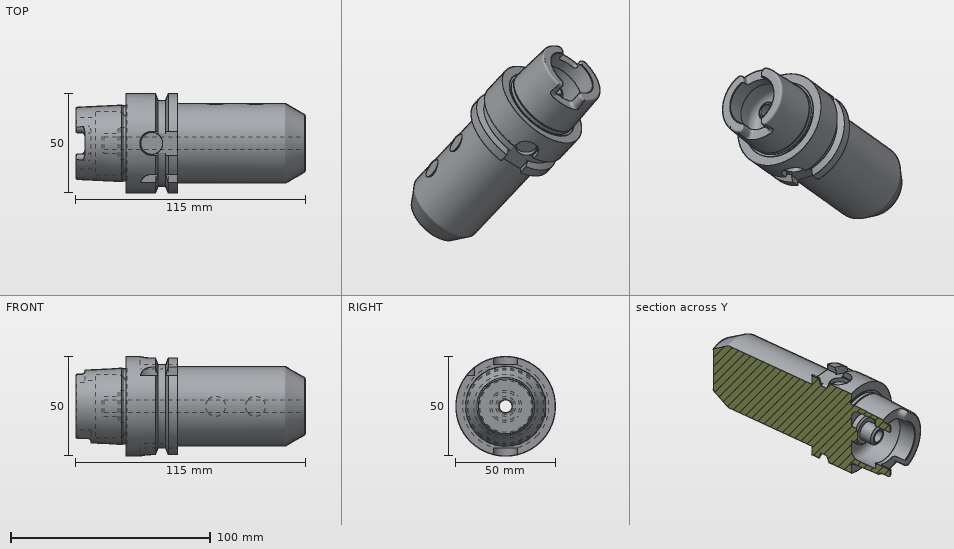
import cadquery as cq
import math


SHANK_LENGTH = 25.0
SHANK_LARGE_D = 38.4
SHANK_SMALL_D = 36.2
SHANK_END_ROUND = 1.0
NECK_D = 37.9
NECK_LENGTH = 2.1
NECK_RAMP = 0.7
FACE_RECESS_D = 40.4
FACE_RECESS_DEPTH = 0.5

FLANGE_D = 50.0
FLANGE_LENGTH = 26.0
GROOVE_D = 43.2
GROOVE_CENTRE_X = 18.05
GROOVE_FLOOR_WIDTH = 3.7
GROOVE_FLANK_RUN = 1.4

BODY_D = 40.0
BODY_END_X = 90.0
NOSE_CONE_LENGTH = 10.0
NOSE_CONE_ANGLE = 30.0
NOSE_EDGE_CHAMFER = 0.5
NOSE_CONE_ROUND = 1.0

BORE_D = 26.0
BORE_MOUTH_D = 26.6
LIP_LENGTH = 9.7
RELIEF_D = 32.0
BORE_DEPTH = 25.0
BORE_FLOOR_ROUND = 4.4
GLAND_D = 16.0
GLAND_HEIGHT = 4.0
GLAND_CHAMFER = 1.0
TUBE_D = 10.0
TUBE_HEIGHT = 12.0
TUBE_CHAMFER = 1.0
COOLANT_HOLE_D = 6.4

DRIVE_SLOT_WIDTH = 10.54
DRIVE_SLOT_DEPTHS = {1: 4.4, -1: 7.5}
DRIVE_SLOT_FLOOR_ROUND = 1.5
DRIVE_SLOT_FLARE_R = 2.5
DRIVE_SLOT_FLARE_Z = 13.7
DRIVE_SLOT_MOUTH_ROUND = 1.0

KEYWAY_WIDTH = 12.0
KEYWAY_FLOOR_Z = 21.0
KEYWAY_END_X = 13.0
KEYWAY_POCKET_D = 11.0
KEYWAY_POCKET_DEPTH = 2.4
CORNER_NOTCH_OFFSET = 15.5

SCREW_D = 10.0
SCREW_LENGTH = 10.0
SCREW_XS = (45.0, 65.0)

CLEARANCE = 5.0
PICK_MARGIN = 0.5


def turned_body():
    """Outer turned shape with every diameter from shank to nose."""
    cone_drop = NOSE_CONE_LENGTH * math.tan(math.radians(NOSE_CONE_ANGLE))
    nose_end_r = BODY_D / 2 - cone_drop
    groove_half = GROOVE_FLOOR_WIDTH / 2
    profile = (
        cq.Workplane("XY")
        .moveTo(-SHANK_LENGTH, 0)
        .lineTo(-SHANK_LENGTH, SHANK_SMALL_D / 2)
        .lineTo(-NECK_LENGTH, SHANK_LARGE_D / 2)
        .lineTo(-NECK_LENGTH + NECK_RAMP, NECK_D / 2)
        .lineTo(FACE_RECESS_DEPTH, NECK_D / 2)
        .lineTo(FACE_RECESS_DEPTH, FACE_RECESS_D / 2)
        .lineTo(0, FACE_RECESS_D / 2)
        .lineTo(0, FLANGE_D / 2)
        .lineTo(GROOVE_CENTRE_X - groove_half - GROOVE_FLANK_RUN, FLANGE_D / 2)
        .lineTo(GROOVE_CENTRE_X - groove_half, GROOVE_D / 2)
        .lineTo(GROOVE_CENTRE_X + groove_half, GROOVE_D / 2)
        .lineTo(GROOVE_CENTRE_X + groove_half + GROOVE_FLANK_RUN, FLANGE_D / 2)
        .lineTo(FLANGE_LENGTH, FLANGE_D / 2)
        .lineTo(FLANGE_LENGTH, BODY_D / 2)
        .lineTo(BODY_END_X - NOSE_CONE_LENGTH, BODY_D / 2)
        .lineTo(BODY_END_X, nose_end_r)
        .lineTo(BODY_END_X, 0)
        .close()
    )
    body = profile.revolve(360, (0, 0, 0), (1, 0, 0))
    body = body.faces("<X").edges().fillet(SHANK_END_ROUND)
    body = body.faces(">X").edges().chamfer(NOSE_EDGE_CHAMFER)
    cone_edge_x = BODY_END_X - NOSE_CONE_LENGTH
    cone_edge = cq.selectors.BoxSelector(
        (cone_edge_x - PICK_MARGIN, -BODY_D, -BODY_D), (cone_edge_x + PICK_MARGIN, BODY_D, BODY_D)
    )
    return body.edges(cone_edge).fillet(NOSE_CONE_ROUND)


def shank_cavity():
    """Turned hollow of the shank, leaving the gland and coolant tube standing."""
    mouth_chamfer = (BORE_MOUTH_D - BORE_D) / 2
    floor_x = -SHANK_LENGTH + BORE_DEPTH
    bore = cq.Workplane("YZ", origin=(-SHANK_LENGTH, 0, 0)).circle(BORE_D / 2).extrude(LIP_LENGTH)
    relief = (
        cq.Workplane("YZ", origin=(-SHANK_LENGTH + LIP_LENGTH, 0, 0))
        .circle(RELIEF_D / 2)
        .extrude(BORE_DEPTH - LIP_LENGTH)
    )
    relief = relief.faces(">X").edges().fillet(BORE_FLOOR_ROUND)
    mouth = (
        cq.Workplane("XY")
        .moveTo(-SHANK_LENGTH, 0)
        .lineTo(-SHANK_LENGTH, BORE_MOUTH_D / 2)
        .lineTo(-SHANK_LENGTH + mouth_chamfer, BORE_D / 2)
        .lineTo(-SHANK_LENGTH + mouth_chamfer, 0)
        .close()
        .revolve(360, (0, 0, 0), (1, 0, 0))
    )
    cavity = bore.union(relief).union(mouth)
    for diameter, height, chamfer in (
        (GLAND_D, GLAND_HEIGHT, GLAND_CHAMFER),
        (TUBE_D, TUBE_HEIGHT, TUBE_CHAMFER),
    ):
        boss = cq.Workplane("YZ", origin=(floor_x, 0, 0)).circle(diameter / 2).extrude(-height)
        cavity = cavity.cut(boss.faces("<X").edges().chamfer(chamfer))
    return cavity


def coolant_hole():
    """Straight hole along the whole turning axis."""
    length = SHANK_LENGTH + BODY_END_X
    return cq.Workplane("YZ", origin=(-SHANK_LENGTH, 0, 0)).circle(COOLANT_HOLE_D / 2).extrude(length)


def with_round_mouth(cutter):
    """Widens a drive slot cutter at the open end so that the walls it leaves are rounded there."""
    width = BORE_D - 2 * PICK_MARGIN
    height = SHANK_LARGE_D
    blank = cq.Workplane("XY", origin=(-SHANK_LENGTH, 0, 0)).box(
        SHANK_LENGTH, width, height, centered=(False, True, False)
    )
    walls = blank.cut(cutter)
    inner_y = width / 2 - PICK_MARGIN
    mouth = cq.selectors.BoxSelector(
        (-SHANK_LENGTH - PICK_MARGIN, -inner_y, PICK_MARGIN),
        (-SHANK_LENGTH + PICK_MARGIN, inner_y, height),
    )
    walls = walls.faces("<X").edges(mouth).fillet(DRIVE_SLOT_MOUTH_ROUND)
    return blank.cut(walls)


def drive_slot(side):
    """Slot in the shank end with rounded floor edges, flared walls and a rounded mouth."""
    half = DRIVE_SLOT_WIDTH / 2
    flare = DRIVE_SLOT_FLARE_R
    bend = flare * math.sin(math.radians(45))
    flare_top = DRIVE_SLOT_FLARE_Z + flare
    outer_y = BORE_D / 2
    outer_z = SHANK_LARGE_D / 2 + CLEARANCE
    mid_y = half + flare - bend
    mid_z = DRIVE_SLOT_FLARE_Z + bend

    outline = (
        cq.Workplane("YZ", origin=(-SHANK_LENGTH, 0, 0))
        .moveTo(-half, 0)
        .lineTo(half, 0)
        .lineTo(half, DRIVE_SLOT_FLARE_Z)
        .threePointArc((mid_y, mid_z), (half + flare, flare_top))
        .lineTo(outer_y, flare_top)
        .lineTo(outer_y, outer_z)
        .lineTo(-outer_y, outer_z)
        .lineTo(-outer_y, flare_top)
        .lineTo(-half - flare, flare_top)
        .threePointArc((-mid_y, mid_z), (-half, DRIVE_SLOT_FLARE_Z))
        .close()
    )
    cutter = outline.extrude(DRIVE_SLOT_DEPTHS[side])
    wall_edges = cq.selectors.BoxSelector(
        (-SHANK_LENGTH, -half - flare, PICK_MARGIN), (0, half + flare, flare_top)
    )
    cutter = cutter.faces(">X").edges(wall_edges).fillet(DRIVE_SLOT_FLOOR_ROUND)
    cutter = with_round_mouth(cutter)
    return cutter if side > 0 else cutter.mirror("XY")


def keyway(side):
    """Round-ended keyway through the rim and groove, with a round pocket sunk in its floor."""
    height = FLANGE_D / 2 - KEYWAY_FLOOR_Z + CLEARANCE
    run = FLANGE_LENGTH - KEYWAY_END_X
    floor = cq.Workplane("XY", origin=(KEYWAY_END_X, 0, KEYWAY_FLOOR_Z))
    cutter = floor.circle(KEYWAY_WIDTH / 2).extrude(height)
    cutter = cutter.union(floor.center(run / 2, 0).rect(run, KEYWAY_WIDTH).extrude(height))
    cutter = cutter.union(floor.circle(KEYWAY_POCKET_D / 2).extrude(-KEYWAY_POCKET_DEPTH))
    return cutter if side > 0 else cutter.mirror("XY")


def corner_notch():
    """Square-cornered notch in the -Y, +Z quarter of the rim, its end rounded like the keyways."""
    radius = KEYWAY_WIDTH / 2
    run = FLANGE_LENGTH - KEYWAY_END_X
    height = FLANGE_D / 2 - CORNER_NOTCH_OFFSET
    centre_y = -CORNER_NOTCH_OFFSET - radius
    floor = cq.Workplane("XY", origin=(KEYWAY_END_X, centre_y, CORNER_NOTCH_OFFSET))
    cutter = floor.circle(radius).extrude(height)
    return cutter.union(floor.center(run / 2, 0).rect(run, KEYWAY_WIDTH).extrude(height))


def screw_head(x):
    """Flat-topped clamping screw, level with the highest line of the nose on its +Y side."""
    return cq.Workplane("XZ", origin=(x, BODY_D / 2, 0)).circle(SCREW_D / 2).extrude(SCREW_LENGTH)


result = turned_body().cut(shank_cavity()).cut(coolant_hole())
for z_side in (1, -1):
    result = result.cut(drive_slot(z_side)).cut(keyway(z_side))
result = result.cut(corner_notch())
for screw_x in SCREW_XS:
    result = result.union(screw_head(screw_x))